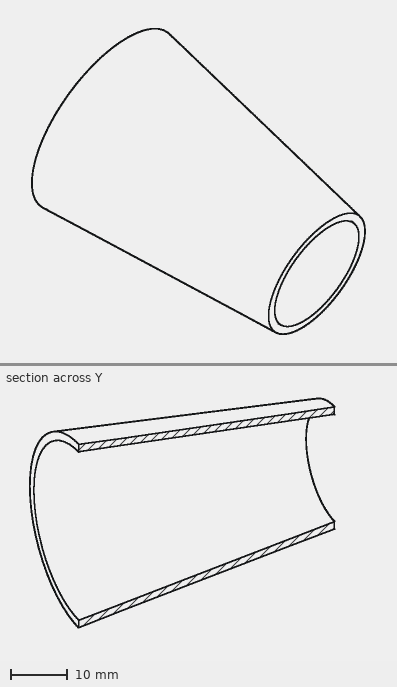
import cadquery as cq

length = 50.8
large_diameter = 38.1
small_diameter = 25.4
wall = 1.65

large_radius = large_diameter / 2
small_radius = small_diameter / 2

wall_section = [
    (0, large_radius - wall),
    (0, large_radius),
    (length, small_radius),
    (length, small_radius - wall),
]

result = (
    cq.Workplane("XY")
    .polyline(wall_section)
    .close()
    .revolve(360, (0, 0, 0), (1, 0, 0))
)